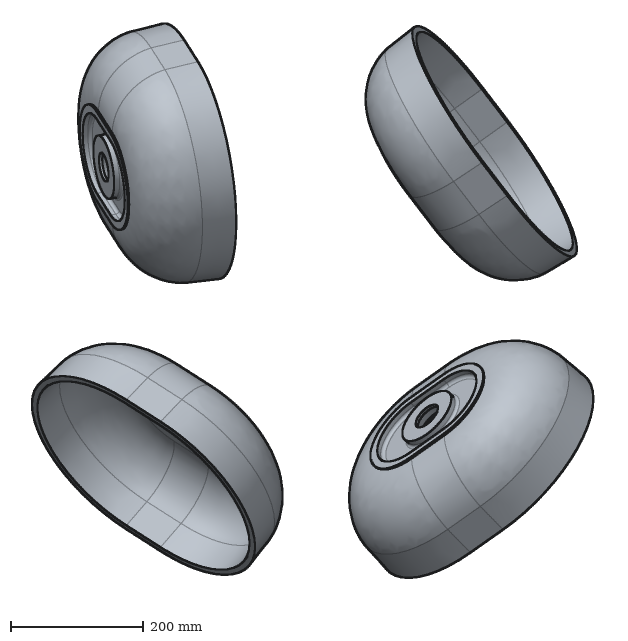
import cadquery as cq
import math

LENGTH = 425.0
HEIGHT = 360.0
DEPTH = 140.0
STRAIGHT = LENGTH - HEIGHT
RIM_RADIUS = HEIGHT / 2
RIM_Y = DEPTH / 2
BASE_Y = -DEPTH / 2

TAPER_END = (3.5, 53.0, 10)
BELLY_MIDDLE = (30.5, 108.0, 45)

FOOT_RADIUS = 80.0
FOOT_HEIGHT = 2.5

WALL = 10.5
FLOOR_THICKNESS = 21.2
BASIN_FLOOR_RADIUS = FOOT_RADIUS

RECESS_RADIUS = 66.5
RECESS_DEPTH = 13.5
RECESS_FILLET = 5.5
BOSS_RADIUS = 49.0
BOSS_FILLET = 4.5
DRAIN_RADIUS = 22.0
DRAIN_LIP = 5.0
FUNNEL_RADIUS = 31.5

RECESS_FLOOR_Y = BASE_Y + RECESS_DEPTH
BASIN_FLOOR_Y = BASE_Y + FLOOR_THICKNESS


def stadium_prism(radius, base_y, height):
    """Straight-sided stadium block rising along +Y from base_y."""
    return (
        cq.Workplane("XZ", origin=(0, base_y, 0))
        .slot2D(STRAIGHT + 2 * radius, 2 * radius)
        .extrude(-height)
    )


def half_profile(floor_y, floor_radius, wall_offset):
    """Closed half section of a bowl; its wall is the outer wall moved inward by wall_offset."""
    wall_points = []
    for inset, depth, slope in (BELLY_MIDDLE, TAPER_END):
        angle = math.radians(slope)
        radius = RIM_RADIUS - inset - wall_offset * math.cos(angle)
        wall_points.append((radius, RIM_Y - depth + wall_offset * math.sin(angle)))
    return (
        cq.Workplane("ZY")
        .moveTo(0, floor_y)
        .lineTo(floor_radius, floor_y)
        .threePointArc(*wall_points)
        .lineTo(RIM_RADIUS - wall_offset, RIM_Y)
        .lineTo(0, RIM_Y)
        .close()
    )


def bowl(floor_y, floor_radius, wall_offset):
    """Solid stadium bowl: a straight middle with a half-round bowl at each end."""
    section = (floor_y, floor_radius, wall_offset)
    end = half_profile(*section).revolve(180, (0, 0, 0), (0, 1, 0)).translate((STRAIGHT / 2, 0, 0))
    half_middle = half_profile(*section).extrude(STRAIGHT / 2, both=True)
    middle = half_middle.union(half_middle.mirror("XY"))
    return middle.union(end).union(end.mirror("YZ"))


def drain_boss():
    """Round boss that flares into the recess floor through a fillet."""
    return (
        cq.Workplane("XY")
        .moveTo(0, RECESS_FLOOR_Y)
        .lineTo(BOSS_RADIUS + BOSS_FILLET, RECESS_FLOOR_Y)
        .radiusArc((BOSS_RADIUS, RECESS_FLOOR_Y - BOSS_FILLET), -BOSS_FILLET)
        .lineTo(BOSS_RADIUS, BASE_Y)
        .lineTo(0, BASE_Y)
        .close()
        .revolve(360, (0, 0, 0), (0, 1, 0))
    )


def drain_hole():
    """Short round hole through the boss face, widening as a cone up to the basin floor."""
    return (
        cq.Workplane("XY")
        .moveTo(0, BASE_Y)
        .lineTo(DRAIN_RADIUS, BASE_Y)
        .lineTo(DRAIN_RADIUS, BASE_Y + DRAIN_LIP)
        .lineTo(FUNNEL_RADIUS, BASIN_FLOOR_Y)
        .lineTo(0, BASIN_FLOOR_Y)
        .close()
        .revolve(360, (0, 0, 0), (0, 1, 0))
    )


outer = bowl(BASE_Y + FOOT_HEIGHT, FOOT_RADIUS, 0)
foot = stadium_prism(FOOT_RADIUS, BASE_Y, FOOT_HEIGHT)
basin = bowl(BASIN_FLOOR_Y, BASIN_FLOOR_RADIUS, WALL)
recess = stadium_prism(RECESS_RADIUS, BASE_Y, RECESS_DEPTH).faces(">Y").edges().fillet(RECESS_FILLET)

result = outer.union(foot).cut(basin).cut(recess).union(drain_boss()).cut(drain_hole())